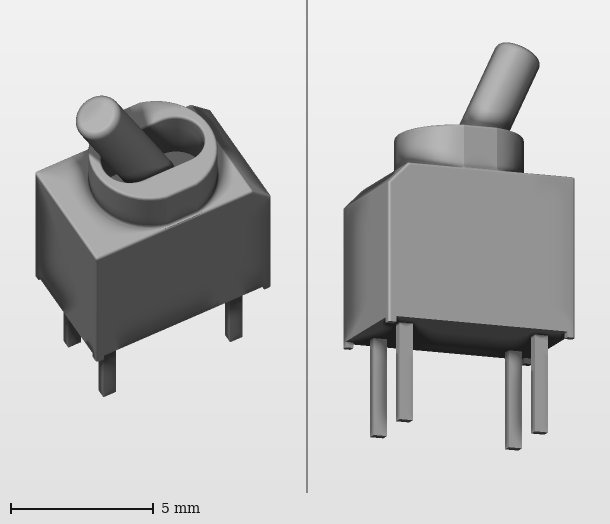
import cadquery as cq
import math

width = 4.5
depth = 7.02
floor_z = 3.5
top_z = 9.1
back_chamfer = 0.75
edge_radius = 0.1

foot_size = 0.3
foot_height = 0.2

pin_width = 0.35
pin_depth = 0.5
pin_pitch_x = 2.54
pin_pitch_y = 5.08

bushing_height = 1.58
bushing_length = 4.56
bushing_width = 4.2
bushing_flat = 1.23

lever_diameter = 1.7
lever_tilt = 25.0
tip_radius = 0.25
overall_height = 14.26

slot_width = 2.0
slot_length = 3.85

collar_margin = 0.01
collar_reach = edge_radius + collar_margin

bushing_top_z = top_z + bushing_height
lever_radius = lever_diameter / 2
tilt = math.radians(lever_tilt)

lever_end_drop = lever_radius * math.sin(tilt)
slot_floor_z = top_z - lever_end_drop

tip_ring_radius = lever_radius - tip_radius
tip_ring_z = overall_height - tip_radius - tip_ring_radius * math.sin(tilt)
lever_length = (tip_ring_z - top_z) / math.cos(tilt) + tip_radius


def make_block():
    """Block with a bevelled top rear edge, rounded on every edge but the bottom ones."""
    block = (
        cq.Workplane("XY", origin=(0, 0, floor_z - foot_height))
        .rect(width, depth)
        .extrude(top_z - floor_z + foot_height)
    )
    block = block.faces(">Z").edges(">Y").chamfer(back_chamfer)
    return block.edges("not <Z").fillet(edge_radius)


def cut_foot_gaps(block):
    """Clear the underside along X and Y so that only the four corner feet remain."""
    gaps = cq.Workplane("XY", origin=(0, 0, floor_z))
    for gap_x, gap_y in (
        (width - 2 * foot_size, depth),
        (width, depth - 2 * foot_size),
    ):
        block = block.cut(gaps.rect(gap_x, gap_y).extrude(-foot_height))
    return block


def bushing_outline(base_z):
    """Closed outline of the bushing, drawn at the given height."""
    half_width = bushing_width / 2
    half_length = bushing_length / 2
    half_flat = bushing_flat / 2
    return (
        cq.Workplane("XY", origin=(0, 0, base_z))
        .moveTo(half_width, -half_flat)
        .lineTo(half_width, half_flat)
        .threePointArc((0, half_length), (-half_width, half_flat))
        .lineTo(-half_width, -half_flat)
        .threePointArc((0, -half_length), (half_width, -half_flat))
        .close()
    )


def make_bushing():
    """Bushing with a fillet at its foot, spreading onto a collar sunk into the block."""
    collar = bushing_outline(top_z - edge_radius).offset2D(collar_reach).extrude(edge_radius)
    bushing = collar.union(bushing_outline(top_z).extrude(bushing_height))
    shoulder = bushing.faces("|Z").faces(">Z[-2]").val()
    foot_edges = shoulder.innerWires()[0].Edges()
    return bushing.newObject(foot_edges).fillet(edge_radius)


def make_slot():
    """Rounded slot through the bushing, reaching down to where the lever rests."""
    return (
        cq.Workplane("XY", origin=(0, 0, slot_floor_z))
        .slot2D(slot_length, slot_width, 90)
        .extrude(bushing_top_z - slot_floor_z)
    )


def make_pins():
    """Terminal pins in a two-by-two pattern, ending at the underside of the block."""
    return (
        cq.Workplane("XY")
        .rarray(pin_pitch_x, pin_pitch_y, 2, 2)
        .rect(pin_width, pin_depth)
        .extrude(floor_z)
    )


def make_housing():
    """Block, bushing and terminal pins as one body."""
    block = cut_foot_gaps(make_block())
    body = block.union(make_bushing()).cut(make_slot())
    body = body.faces(">Z").edges().fillet(edge_radius)
    return body.union(make_pins())


def make_lever():
    """Round lever from the pivot outward, with a rounded tip."""
    axis = cq.Plane(
        origin=(0, 0, top_z),
        xDir=(1, 0, 0),
        normal=(0, -math.sin(tilt), math.cos(tilt)),
    )
    lever = cq.Workplane(axis).circle(lever_radius).extrude(lever_length)
    return lever.faces(">Z").edges().fillet(tip_radius)


housing = make_housing()
lever = make_lever()
result = cq.Compound.makeCompound([housing.solids().val(), lever.solids().val()])